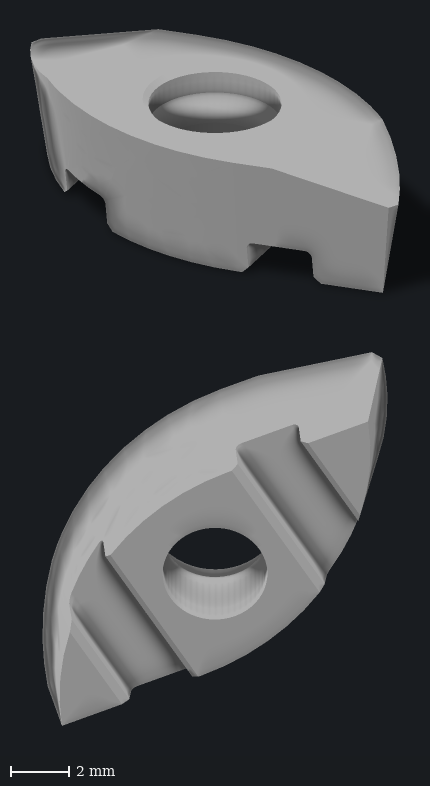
import cadquery as cq
import math

length = 15.2
width = 8.72
height = 4.6
half_length = length / 2
half_width = width / 2

fold_side_x = 3.19
fold_angle = math.radians(58.2)
slope_angle = math.radians(15.0)

seam_x = 1.8
arc_radius = 10.0
arc_center_x = -2.26
tip_chamfer_x = 0.26
bottom_tip_x = 6.98
fold_inset = 0.67
side_relief = 0.16

bore_radius = 1.8
recess_radius = 2.28
rim_radius = 2.48
rim_depth = 0.18
recess_depth = 0.97
seat_depth = 1.88

slot_width = 2.3
slot_depth = 1.29
slot_offset = 4.03
slot_angle = 12.0
slot_fillet = 0.25
slot_chamfer = 0.25


side_turn = side_relief * math.tan(slope_angle) * math.sin(fold_angle)
seam_y = half_width - side_turn * (fold_side_x - seam_x)
arc_center_y = seam_y - math.sqrt(arc_radius**2 - (-seam_x - arc_center_x) ** 2)


def side_bottom_y(x):
    """Distance of the bottom edge of the flat side from the X axis."""
    return half_width - side_relief * height + side_turn * (x - fold_side_x)


def arc_y(x, radius=arc_radius):
    """Y of the outline arc, or of an arc concentric with it, at x."""
    return arc_center_y + math.sqrt(radius**2 - (x - arc_center_x) ** 2)


def fold_on_arc():
    """X and Y of the point where the fold line reaches the outline arc."""
    to_start_x = fold_side_x - arc_center_x
    to_start_y = -half_width - arc_center_y
    along = to_start_x * math.cos(fold_angle) + to_start_y * math.sin(fold_angle)
    across = to_start_y * math.cos(fold_angle) - to_start_x * math.sin(fold_angle)
    reach = math.sqrt(arc_radius**2 - across**2) - along
    return fold_side_x + reach * math.cos(fold_angle), -half_width + reach * math.sin(fold_angle)


fold_arc_x, fold_arc_y = fold_on_arc()


def top_point(x, y):
    """Point of the top surface of the +X half, on the flat or on the slope."""
    distance = (x - fold_side_x) * math.sin(fold_angle) - (y + half_width) * math.cos(fold_angle)
    drop = max(0.0, distance) * math.tan(slope_angle)
    return cq.Vector(x, y, height - drop)


def arc_top(start_x, end_x):
    """Top edge of the arc flank between two x positions."""
    steps = 6
    xs = [start_x + (end_x - start_x) * i / steps for i in range(steps + 1)]
    return cq.Edge.makeSpline([top_point(x, arc_y(x)) for x in xs])


def arc_bottom(start, end):
    """Arc between two bottom points, with the mean of their center distances at its middle."""
    center = cq.Vector(arc_center_x, arc_center_y, 0)
    radius = ((start - center).Length + (end - center).Length) / 2
    middle_x = (start.x + end.x) / 2
    middle = cq.Vector(middle_x, arc_y(middle_x, radius), 0)
    return cq.Edge.makeThreePointArc(start, middle, end)


def half_turn(shape):
    """Copy of a shape turned half a turn about the part axis."""
    return shape.rotate(cq.Vector(0, 0, 0), cq.Vector(0, 0, 1), 180)


def blank():
    """Body with inclined flanks and sloped tips, symmetric by a half turn."""
    line = cq.Edge.makeLine

    seam_top = cq.Vector(-seam_x, seam_y, height)
    fold_arc = top_point(fold_arc_x, fold_arc_y)
    tip_arc = top_point(half_length, arc_y(half_length))
    tip_side = top_point(half_length - tip_chamfer_x, -half_width)
    fold_side = top_point(fold_side_x, -half_width)
    seam_end = cq.Vector(seam_x, -seam_y, height)

    inset_ratio = (arc_radius - fold_inset) / arc_radius
    fold_bottom = cq.Vector(
        arc_center_x + (fold_arc_x - arc_center_x) * inset_ratio,
        arc_center_y + (fold_arc_y - arc_center_y) * inset_ratio,
        0,
    )
    seam_bottom = cq.Vector(-seam_x, side_bottom_y(seam_x), 0)
    tip_bottom = cq.Vector(bottom_tip_x, -side_bottom_y(bottom_tip_x), 0)
    end_bottom = cq.Vector(seam_x, -side_bottom_y(seam_x), 0)

    body_arc = arc_top(-seam_x, fold_arc_x)
    tip_edge = arc_top(fold_arc_x, half_length)
    chamfer_edge = line(tip_arc, tip_side)
    slope_side = line(tip_side, fold_side)
    flat_side = line(fold_side, seam_end)
    fold = line(fold_side, fold_arc)

    body_bottom_arc = arc_bottom(seam_bottom, fold_bottom)
    tip_bottom_arc = arc_bottom(fold_bottom, tip_bottom)
    side_bottom = line(tip_bottom, end_bottom)

    def face(edges):
        return cq.Face.makeFromWires(cq.Wire.assembleEdges(edges))

    ruled = cq.Face.makeRuledSurface
    tip_corner = line(tip_side, tip_bottom)
    seam = line(end_bottom, seam_end)
    chamfer = face([chamfer_edge, tip_corner, line(tip_bottom, tip_arc)])
    flat_flank = face([slope_side, flat_side, seam, side_bottom, tip_corner])
    half_faces = [
        ruled(body_arc, body_bottom_arc),
        ruled(tip_edge, tip_bottom_arc),
        chamfer,
        flat_flank,
        face([tip_edge, chamfer_edge, slope_side, fold]),
    ]

    half_top = [body_arc, fold, flat_side]
    half_bottom = [body_bottom_arc, tip_bottom_arc, side_bottom]
    faces = half_faces + [half_turn(f) for f in half_faces]
    faces.append(face(half_top + [half_turn(e) for e in half_top]))
    faces.append(face(half_bottom + [half_turn(e) for e in half_bottom]))
    return cq.Workplane(obj=cq.Solid.makeSolid(cq.Shell.makeShell(faces)).fix())


def screw_hole():
    """Stepped hole: chamfered rim, recess, and a rounded seat running into the bore."""
    seat_step = recess_radius - bore_radius
    seat_drop = seat_depth - recess_depth
    seat_radius = (seat_step**2 + seat_drop**2) / (2 * seat_step)
    half_sweep = math.asin(seat_drop / seat_radius) / 2
    seat_middle = (
        bore_radius + seat_radius * (1 - math.cos(half_sweep)),
        height - seat_depth + seat_radius * math.sin(half_sweep),
    )
    return (
        cq.Workplane("XZ")
        .lineTo(bore_radius, 0)
        .lineTo(bore_radius, height - seat_depth)
        .threePointArc(seat_middle, (recess_radius, height - recess_depth))
        .lineTo(recess_radius, height - rim_depth)
        .lineTo(rim_radius, height)
        .lineTo(0, height)
        .close()
        .revolve(360, (0, 0), (0, 1))
    )


def slot(side):
    """Slot on one side of the axis, with rounded top corners and a flared mouth."""
    half_slot = slot_width / 2
    bar = (
        cq.Workplane("XY")
        .box(slot_width, length, slot_depth, centered=(True, True, False))
        .edges("|Y and >Z")
        .fillet(slot_fillet)
    )
    mouth = (
        cq.Workplane("XZ")
        .moveTo(-half_slot - slot_chamfer, 0)
        .lineTo(half_slot + slot_chamfer, 0)
        .lineTo(half_slot, slot_chamfer)
        .lineTo(-half_slot, slot_chamfer)
        .close()
        .extrude(half_length, both=True)
    )
    cutter = bar.union(mouth).translate((side * slot_offset, 0, 0))
    return cutter.rotate((0, 0, 0), (0, 0, 1), -slot_angle)


result = blank().cut(screw_hole())
for side in (-1, 1):
    result = result.cut(slot(side))